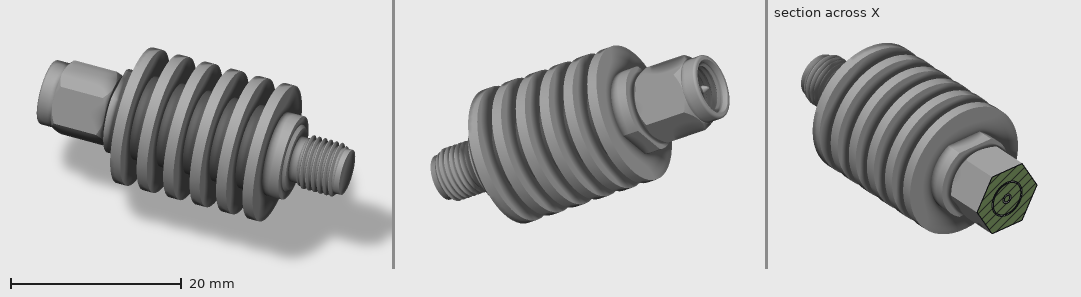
import cadquery as cq
import math

overall_length = 37.5

hex_start = 1.88
hex_end = 8.4
body_start = 8.85
body_end = 30.8
collar_end = 31.2

nose_radius = 3.9
nose_fillet = 0.3
hex_across_flats = 8.0
hex_chamfer_length = 0.65
hex_corner_radius = hex_across_flats / math.sqrt(3)
hex_end_radius = hex_across_flats / 2
neck_radius = 3.25

body_radius = 5.05
flat_spacing = 8.92
fin_radius = 8.25
fin_thickness = 1.28
fin_count = 6
first_fin_start = 10.9
last_fin_start = 27.5
fin_pitch = (last_fin_start - first_fin_start) / (fin_count - 1)

collar_radius = 4.05
collar_chamfer = 0.3
stub_radius = 2.75

mark_radius = 0.68
mark_depth = 0.38
mark_x = 29.75

thread_pitch = 0.7
ridge_root_width = 0.55
ridge_crest_width = 0.08
ridge_embed = 0.08
stub_ridge_height = 0.5
stub_helix_start = 31.72
stub_helix_turns = 7.5
stub_thread_start = 32.1
stub_thread_end = 36.85
stub_fade_length = 0.9

cavity_depth = 3.0
cavity_radius = 3.08
lead_in_radius = 3.3
lead_in_depth = 0.52
nut_ridge_height = 0.35
nut_helix_start = 0.7
nut_helix_turns = 3.25

pin_radius = 0.45
pin_tip_radius = 0.15
pin_tip_length = 0.6
pin_tip_x = 0.6
groove_depth = 0.15
pin_groove_radius = 0.6
insulator_radius = 2.15
insulator_groove_radius = 2.25


def disc(x_start, x_end, radius):
    """Cylinder about the X axis."""
    return cq.Workplane("YZ").workplane(offset=x_start).circle(radius).extrude(x_end - x_start)


def ring(x_start, x_end, inner_radius, outer_radius):
    """Tube about the X axis."""
    return disc(x_start, x_end, outer_radius).cut(disc(x_start, x_end, inner_radius))


def turned(profile):
    """Solid of revolution from (x, radius) points whose ends lie on the X axis."""
    return cq.Workplane("XY").polyline(profile).close().revolve(360, (0, 0, 0), (1, 0, 0))


def thread_ridge(x_start, turns, surface_radius, height):
    """Right-hand ridge starting at +Y; a negative height points towards the axis."""
    embedded = surface_radius - math.copysign(ridge_embed, height)
    crest = surface_radius + height
    path = cq.Wire.makeHelix(thread_pitch, turns * thread_pitch, surface_radius)
    ridge = (
        cq.Workplane("XZ")
        .polyline([
            (embedded, -ridge_root_width / 2),
            (crest, -ridge_crest_width / 2),
            (crest, ridge_crest_width / 2),
            (embedded, ridge_root_width / 2),
        ])
        .close()
        .sweep(cq.Workplane(obj=path), isFrenet=True)
    )
    return ridge.rotate((0, 0, 0), (1, 1, 1), 120).translate((x_start, 0, 0))


def coupling_nut():
    nose = disc(0, hex_start, nose_radius).faces("<X").edges().fillet(nose_fillet)
    hexagon = (
        cq.Workplane("YZ")
        .workplane(offset=hex_start)
        .polygon(6, 2 * hex_corner_radius)
        .extrude(hex_end - hex_start)
    )
    corner_envelope = turned([
        (hex_start, 0),
        (hex_start, hex_end_radius),
        (hex_start + hex_chamfer_length, hex_corner_radius),
        (hex_end - hex_chamfer_length, hex_corner_radius),
        (hex_end, hex_end_radius),
        (hex_end, 0),
    ])
    nut = nose.union(hexagon.intersect(corner_envelope))
    cavity = turned([
        (0, 0),
        (0, lead_in_radius),
        (lead_in_depth, cavity_radius),
        (cavity_depth, cavity_radius),
        (cavity_depth, 0),
    ])
    nut = nut.cut(cavity)
    nut = nut.cut(ring(cavity_depth, cavity_depth + groove_depth, insulator_radius, insulator_groove_radius))
    nut = nut.cut(disc(cavity_depth, cavity_depth + groove_depth, pin_groove_radius))
    return nut.union(thread_ridge(nut_helix_start, nut_helix_turns, cavity_radius, -nut_ridge_height))


def contact_pin():
    pin_base = cavity_depth + 2 * groove_depth
    return turned([
        (pin_tip_x, 0),
        (pin_tip_x, pin_tip_radius),
        (pin_tip_x + pin_tip_length, pin_radius),
        (pin_base, pin_radius),
        (pin_base, 0),
    ])


def finned_body():
    body = disc(body_start, body_end, body_radius)
    flats = cq.Workplane("XY").box(
        first_fin_start - body_start, 2 * body_radius, flat_spacing, centered=(False, True, True)
    ).translate((body_start, 0, 0))
    body = body.intersect(flats.union(disc(first_fin_start, body_end, body_radius)))
    for index in range(fin_count):
        fin_start = first_fin_start + index * fin_pitch
        body = body.union(disc(fin_start, fin_start + fin_thickness, fin_radius))
    return body


def top_mark():
    """Round plug whose outer end follows the body surface."""
    plug = (
        cq.Workplane("XY")
        .workplane(offset=body_radius - mark_depth)
        .center(mark_x, 0)
        .circle(mark_radius)
        .extrude(2 * mark_depth)
    )
    return plug.intersect(disc(body_start, body_end, body_radius))


def socket_end():
    collar = disc(body_end, collar_end, collar_radius).faces(">X").edges().chamfer(collar_chamfer)
    stub = disc(collar_end, overall_length, stub_radius)
    ridge = thread_ridge(stub_helix_start, stub_helix_turns, stub_radius, stub_ridge_height)
    envelope_radius = stub_radius + 2 * stub_ridge_height
    thread_envelope = turned([
        (stub_thread_start, 0),
        (stub_thread_start, stub_radius),
        (stub_thread_start + stub_fade_length, envelope_radius),
        (stub_thread_end - stub_fade_length, envelope_radius),
        (stub_thread_end, stub_radius),
        (stub_thread_end, 0),
    ])
    ridge = ridge.intersect(thread_envelope)
    return collar.union(stub).union(ridge)


neck = disc(hex_end, body_start, neck_radius)
result = coupling_nut().union(contact_pin()).union(neck).union(finned_body()).union(socket_end())

result = result.cut(top_mark()).union(top_mark(), clean=False)